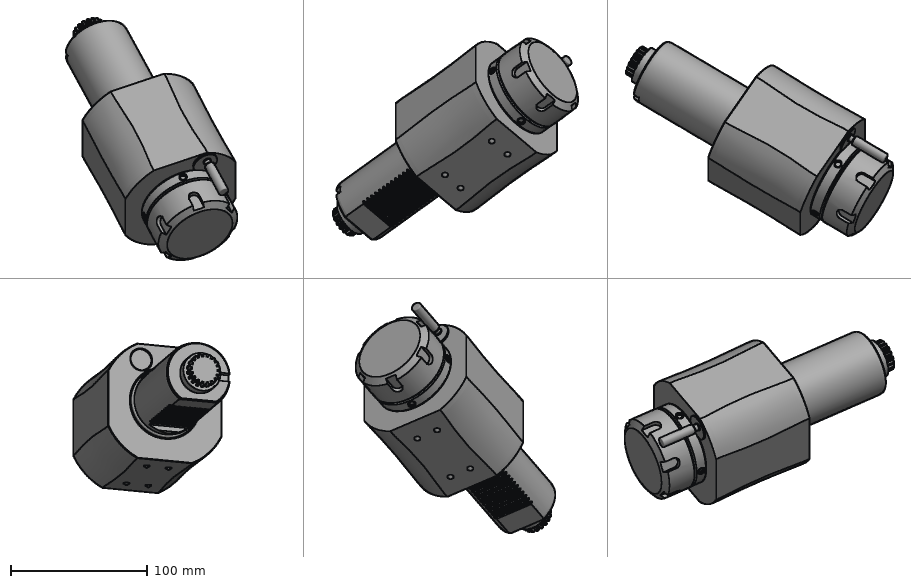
import cadquery as cq
import math


body_length = 80.7
body_width = 88.0
body_radius = 49.0
body_rim_length = 4.5
body_waist_radius = 48.0
body_chamfer = 0.5
plug_radius = 8.5
plug_recess_depth = 0.6
plug_recess_taper = 45
plug_distance = 36.8
pin_angle = 30

shank_length = 77.8
shank_diameter = 50.0
shank_lead_length = 3.1
shank_lead_depth = 0.5
shank_end_chamfer = 0.8
shank_flat_height = 20.0
shank_flat_chamfer = 0.8
shank_flat_length = 69.5
shank_shoulder_chamfer = 1.3
seat_length = 2.0
seat_radius = 26.3
seat_rounding = 1.0
seat_recess_radius = 27.2
seat_recess_depth = 0.6
relief_length = 1.7
relief_depth = 0.5
collar_length = 7.7
collar_radius = 14.5
spline_length = 7.0
spline_tip_radius = 12.0
spline_root_radius = 9.8
spline_tooth_count = 18
spline_tip_width = 1.5
spline_root_width = 2.3
spline_chamfer = 0.5

serration_count = 12
serration_pitch = 4.0
serration_first = 20.3
serration_width = 2.5
serration_floor_width = 0.8
serration_depth = 1.0

slot_width = 6.3
slot_outer_depth = 5.2
slot_inner_depth = 3.3
slot_step_radius = 17.4

nose_length = 8.8
nose_radius = 31.4
nose_relief_length = 0.6
nose_relief_depth = 0.8
groove_length = 1.3
groove_radius = 25.5
nut_length = 26.0
nut_radius = 31.5
nut_back_chamfer = 1.0
nut_front_chamfer = 3.5
nut_face_radius = 26.1
nut_slot_count = 6
nut_slot_width = 8.2
nut_slot_length = 14.8
nut_slot_floor = 28.0
screw_hole_radius = 2.3
screw_hole_depth = 2.0
screw_rim_radius = 3.0
screw_rim_depth = 0.6
screw_hole_setback = 4.2
screw_hole_count = 4

boss_radius = 9.5
boss_thickness = 1.3
boss_distance = 38.7
pin_distance = 41.2
pin_radius = 3.8
pin_base_chamfer = 0.6
pin_end_fillet = 0.6
neck_radius = 2.5
neck_shoulder_radius = 3.0
neck_shoulder_length = 1.9
neck_length = 5.2
pin_reach = 32.8

stud_radius = 2.3
stud_height = 1.7
stud_spacing_x = 46.8
stud_spacing_y = 17.0

half_width = body_width / 2
shank_radius = shank_diameter / 2
shank_end = -shank_length
collar_end = shank_end - collar_length
spline_end = collar_end - spline_length
nose_end = body_length + nose_length
nut_start = nose_end + groove_length
nut_end = nut_start + nut_length


def revolve_about_x(points):
    """Solid of revolution about X from (x, radius) points; both ends close on the axis."""
    outline = [(points[0][0], 0)] + points + [(points[-1][0], 0)]
    return cq.Workplane("XY").polyline(outline).close().revolve(360, (0, 0, 0), (1, 0, 0))


def rod(x_start, x_end, radius, y=0, z=0):
    """Cylinder along X centred on (y, z)."""
    return cq.Workplane("YZ", origin=(x_start, y, z)).circle(radius).extrude(x_end - x_start)


def block(x_range, y_range, z_range):
    """Box given by its limits along each axis."""
    size = [high - low for low, high in (x_range, y_range, z_range)]
    corner = (x_range[0], y_range[0], z_range[0])
    return cq.Workplane("XY").box(*size, centered=False).translate(corner)


def on_pin_ray(distance):
    """(y, z) at a distance from the axis along the ray that carries the pin."""
    angle = math.radians(pin_angle)
    return distance * math.sin(angle), distance * math.cos(angle)


def make_body():
    """Square block with corners turned to a slightly hollow waist between two rims."""
    middle = body_length / 2
    turned = (
        cq.Workplane("XY")
        .lineTo(0, body_radius)
        .lineTo(body_rim_length, body_radius)
        .threePointArc((middle, body_waist_radius), (body_length - body_rim_length, body_radius))
        .lineTo(body_length, body_radius)
        .lineTo(body_length, 0)
        .close()
        .revolve(360, (0, 0, 0), (1, 0, 0))
    )
    square = block((0, body_length), (-half_width, half_width), (-half_width, half_width))
    body = turned.intersect(square).faces("<X").edges().chamfer(body_chamfer)
    plug_recess = (
        cq.Workplane("YZ", origin=(0, *on_pin_ray(plug_distance)))
        .circle(plug_radius)
        .extrude(plug_recess_depth, taper=plug_recess_taper)
    )
    return body.cut(plug_recess).cut(rod(0, seat_recess_depth, seat_recess_radius))


def make_shank():
    """Round shank with a serrated flat, a driver slot and a seat ring set into the body face."""
    seat_start = -seat_length
    relief_start = seat_start - relief_length
    lead_radius = shank_radius - shank_lead_depth
    relief_radius = shank_radius - relief_depth
    shank = revolve_about_x([
        (shank_end, lead_radius - shank_end_chamfer),
        (shank_end + shank_end_chamfer, lead_radius),
        (shank_end + shank_lead_length, shank_radius),
        (relief_start, shank_radius),
        (seat_start, relief_radius),
    ])
    seat = rod(seat_start, seat_recess_depth, seat_radius).faces("<X").edges().fillet(seat_rounding)
    shank = shank.union(seat)
    flat_end = shank_end + shank_flat_length
    chamfer_height = shank_radius - shank_shoulder_chamfer
    flat = (
        cq.Workplane("XZ")
        .moveTo(shank_end, shank_flat_chamfer - shank_flat_height)
        .lineTo(shank_end + shank_flat_chamfer, -shank_flat_height)
        .lineTo(flat_end, -shank_flat_height)
        .lineTo(flat_end, -chamfer_height)
        .lineTo(flat_end + shank_shoulder_chamfer, -shank_radius)
        .lineTo(shank_end, -shank_radius)
        .close()
        .extrude(shank_radius, both=True)
    )
    shank = shank.cut(flat)

    for index in range(serration_count):
        x = shank_end + serration_first + index * serration_pitch
        valley = (
            cq.Workplane("XZ")
            .moveTo(x - serration_width / 2, -shank_flat_height)
            .lineTo(x - serration_floor_width / 2, -shank_flat_height + serration_depth)
            .lineTo(x + serration_floor_width / 2, -shank_flat_height + serration_depth)
            .lineTo(x + serration_width / 2, -shank_flat_height)
            .close()
            .extrude(shank_radius, both=True)
        )
        shank = shank.cut(valley)

    half_slot = slot_width / 2
    slot_steps = ((slot_inner_depth, 0), (slot_outer_depth, slot_step_radius))
    for depth, inner_radius in slot_steps:
        shank = shank.cut(block(
            (shank_end, shank_end + depth), (-shank_radius, -inner_radius), (-half_slot, half_slot)
        ))
    return shank


def make_drive_end():
    """Collar and splined stub; the collar runs on inside the driver slot."""
    collar = rod(collar_end, shank_end + slot_outer_depth, collar_radius)
    spline = rod(spline_end, collar_end, spline_root_radius)
    tooth = (
        cq.Workplane("YZ", origin=(spline_end, 0, 0))
        .moveTo(-spline_root_width / 2, 0)
        .lineTo(-spline_root_width / 2, spline_root_radius)
        .lineTo(-spline_tip_width / 2, spline_tip_radius)
        .lineTo(spline_tip_width / 2, spline_tip_radius)
        .lineTo(spline_root_width / 2, spline_root_radius)
        .lineTo(spline_root_width / 2, 0)
        .close()
        .extrude(spline_length)
    )
    for index in range(spline_tooth_count):
        angle = index * 360 / spline_tooth_count
        spline = spline.union(tooth.rotate((0, 0, 0), (1, 0, 0), angle))
    envelope = revolve_about_x([
        (spline_end, spline_tip_radius - spline_chamfer),
        (spline_end + spline_chamfer, spline_tip_radius),
        (collar_end, spline_tip_radius),
    ])
    return collar.union(spline.intersect(envelope))


def make_nose():
    """Nose ring with radial screw holes, and the slotted clamping nut beyond a groove."""
    relief_radius = nose_radius - nose_relief_depth
    nose = revolve_about_x([
        (body_length, relief_radius),
        (body_length + nose_relief_length, relief_radius),
        (body_length + nose_relief_length, nose_radius),
        (nose_end, nose_radius),
        (nose_end, groove_radius),
        (nut_start, groove_radius),
        (nut_start, nut_radius - nut_back_chamfer),
        (nut_start + nut_back_chamfer, nut_radius),
        (nut_end - nut_front_chamfer, nut_radius),
        (nut_end, nut_face_radius),
    ])
    hole_x = nose_end - screw_hole_setback
    hole_steps = ((screw_hole_radius, screw_hole_depth), (screw_rim_radius, screw_rim_depth))
    for radius, depth in hole_steps:
        hole = (
            cq.Workplane("XY", origin=(hole_x, 0, nose_radius - depth))
            .circle(radius)
            .extrude(2 * depth)
        )
        for index in range(screw_hole_count):
            nose = nose.cut(hole.rotate((0, 0, 0), (1, 0, 0), index * 360 / screw_hole_count))

    nut_slot = (
        cq.Workplane("XY", origin=(nut_end, 0, nut_slot_floor))
        .slot2D(2 * nut_slot_length, nut_slot_width)
        .extrude(nut_radius)
    )
    for index in range(nut_slot_count):
        nose = nose.cut(nut_slot.rotate((0, 0, 0), (1, 0, 0), index * 360 / nut_slot_count))
    return nose


def make_pin():
    """Round pin on a thinner neck, standing on a flat boss."""
    neck_end = body_length + neck_length
    pin_end = body_length + pin_reach
    boss = rod(body_length, body_length + boss_thickness, boss_radius, *on_pin_ray(boss_distance))
    shoulder_end = body_length + neck_shoulder_length
    shoulder = rod(body_length, shoulder_end, neck_shoulder_radius, *on_pin_ray(pin_distance))
    neck = rod(body_length, neck_end, neck_radius, *on_pin_ray(pin_distance))
    pin = rod(neck_end, pin_end, pin_radius, *on_pin_ray(pin_distance))
    pin = pin.faces(">X").edges().fillet(pin_end_fillet).faces("<X").edges().chamfer(pin_base_chamfer)
    return boss.union(shoulder).union(neck).union(pin)


def make_studs():
    """Four conical points below the body."""
    cone = cq.Solid.makeCone(
        stud_radius, 0, stud_height, cq.Vector(0, 0, 0), cq.Vector(0, 0, -1)
    )
    return (
        cq.Workplane("XY", origin=(body_length / 2, 0, -half_width))
        .rarray(stud_spacing_x, stud_spacing_y, 2, 2)
        .eachpoint(lambda place: cone.moved(place), combine=False)
    )


result = make_body()
for feature in (make_shank(), make_drive_end(), make_nose(), make_pin(), make_studs()):
    result = result.union(feature)